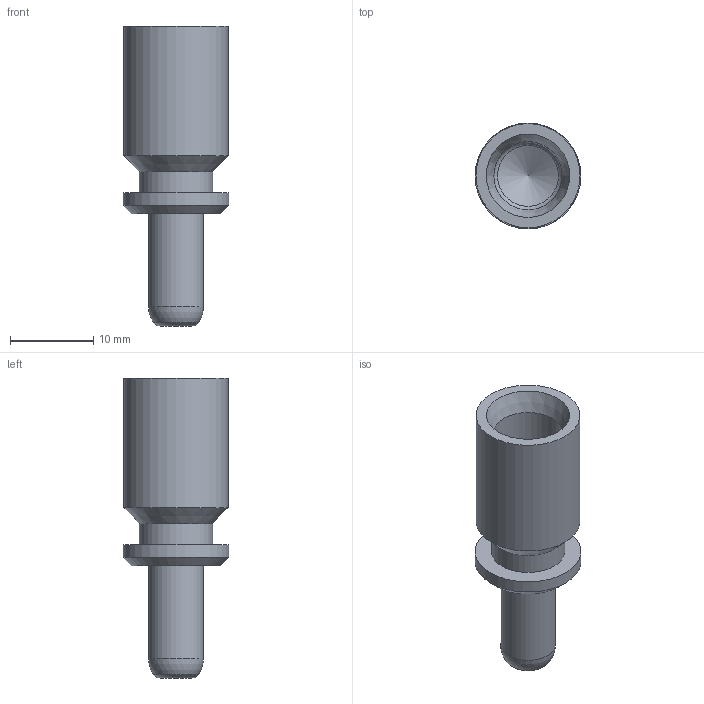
import cadquery as cq
import math

total_length = 36.0

pin_radius = 3.3
dome_center_height = 2.3
tip_fillet_radius = 1.0

flange_radius = 6.35
flange_bottom = 13.5
flange_top = 16.0
flange_chamfer = 1.0

neck_radius = 4.4
neck_top = 18.5
barrel_radius = 6.25
barrel_bottom = 20.45

mouth_radius = 5.0
mouth_depth = 2.5
bore_radius = 4.1
bore_depth = 13.0
bottom_fillet_radius = 0.93
bottom_cone_angle = 118.0


def revolve_about_z(profile):
    """Turn a closed half profile, drawn as radius and height, into a solid."""
    return profile.revolve(360, (0, 0), (0, 1))


def make_body():
    """Outside of the part: domed pin, flange, neck and barrel."""
    center_rise = dome_center_height - tip_fillet_radius
    dome_sweep = math.asin(center_rise / (pin_radius - tip_fillet_radius))
    dome_end_radius = pin_radius * math.cos(dome_sweep)
    dome_end_height = dome_center_height - pin_radius * math.sin(dome_sweep)
    tip_flat_radius = dome_end_radius - tip_fillet_radius * math.cos(dome_sweep)

    profile = (
        cq.Workplane("XZ")
        .lineTo(tip_flat_radius, 0)
        .radiusArc((dome_end_radius, dome_end_height), -tip_fillet_radius)
        .radiusArc((pin_radius, dome_center_height), -pin_radius)
        .lineTo(pin_radius, flange_bottom)
        .lineTo(flange_radius - flange_chamfer, flange_bottom)
        .lineTo(flange_radius, flange_bottom + flange_chamfer)
        .lineTo(flange_radius, flange_top)
        .lineTo(neck_radius, flange_top)
        .lineTo(neck_radius, neck_top)
        .lineTo(barrel_radius, barrel_bottom)
        .lineTo(barrel_radius, total_length)
        .lineTo(0, total_length)
        .close()
    )
    return revolve_about_z(profile)


def make_socket():
    """Bore with a tapered mouth and a conical bottom, filleted where cone meets wall."""
    half_angle = math.radians(bottom_cone_angle / 2)
    bore_bottom = total_length - bore_depth
    cone_radius = bore_radius - bottom_fillet_radius * (1 - math.cos(half_angle))
    cone_top = bore_bottom - bottom_fillet_radius * math.sin(half_angle)
    cone_depth = cone_radius / math.tan(half_angle)

    profile = (
        cq.Workplane("XZ")
        .moveTo(0, total_length)
        .lineTo(mouth_radius, total_length)
        .lineTo(bore_radius, total_length - mouth_depth)
        .lineTo(bore_radius, bore_bottom)
        .radiusArc((cone_radius, cone_top), bottom_fillet_radius)
        .lineTo(0, cone_top - cone_depth)
        .close()
    )
    return revolve_about_z(profile)


result = make_body().cut(make_socket())